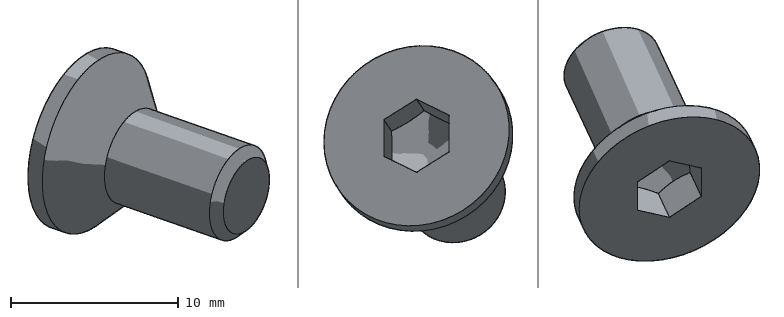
import cadquery as cq
import math

length = 12.0
head_radius = 11.34 / 2
shank_radius = 6.0 / 2
rim_thickness = 1.05
tip_chamfer = 0.6
socket_across_flats = 4.0
socket_depth = 2.2
socket_point_angle = 120.0
drill_overlap = 0.12

shank_start = rim_thickness + head_radius - shank_radius
socket_corner_radius = socket_across_flats / math.sqrt(3)
socket_point_length = socket_corner_radius / math.tan(math.radians(socket_point_angle / 2))


def make_body():
    """Head, countersink and chamfered shank, revolved about X."""
    return (
        cq.Workplane("XY")
        .moveTo(0, 0)
        .lineTo(0, head_radius)
        .lineTo(rim_thickness, head_radius)
        .lineTo(shank_start, shank_radius)
        .lineTo(length - tip_chamfer, shank_radius)
        .lineTo(length, shank_radius - tip_chamfer)
        .lineTo(length, 0)
        .close()
        .revolve(360, (0, 0, 0), (1, 0, 0))
    )


def make_socket():
    """Hexagon with flats facing Y, ended by a drill-point cone."""
    socket_end = socket_depth + socket_point_length
    hexagon = (
        cq.Workplane("YZ")
        .transformed(rotate=(0, 0, 90))
        .polygon(6, 2 * socket_corner_radius)
        .extrude(socket_end)
    )
    drill_radius = socket_corner_radius + drill_overlap
    drill_depth = socket_end - socket_point_length * drill_radius / socket_corner_radius
    drill = (
        cq.Workplane("XY")
        .moveTo(0, 0)
        .lineTo(0, drill_radius)
        .lineTo(drill_depth, drill_radius)
        .lineTo(socket_end, 0)
        .close()
        .revolve(360, (0, 0, 0), (1, 0, 0))
    )
    return hexagon.intersect(drill)


result = make_body().cut(make_socket())